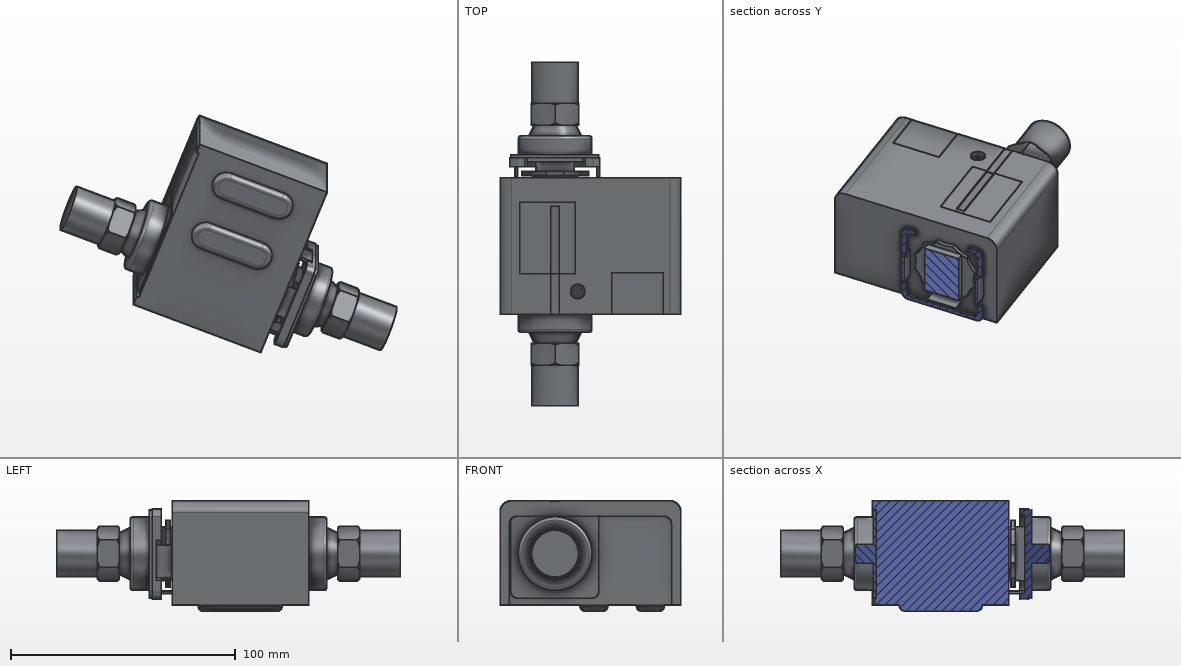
import cadquery as cq
import math


HOUSING_LEFT = -24.5
HOUSING_WIDTH = 80.5
HOUSING_BOTTOM = -23.0
HOUSING_TOP = 23.5
HOUSING_FRONT = -35.8
HOUSING_BACK = 25.1
TOP_EDGE_RADIUS = 5.0
SIDE_WALL = 4.1
TOP_WALL = 6.9
RECESS_DEPTH = 1.0
RECESS_RADIUS = 3.7

LABEL_DEPTH = 0.08
WINDOW_LEFT, WINDOW_RIGHT = -15.8, 8.9
WINDOW_FRONT, WINDOW_BACK = -17.7, 14.2
GROOVE_WIDTH = 3.7
GROOVE_BACK = 12.4
GROOVE_DEPTH = 0.3
WINDOW_GROOVE_DEPTH = 0.6
NAMEPLATE_LEFT, NAMEPLATE_RIGHT = 25.2, 48.0
NAMEPLATE_BACK = -17.1
HOLE_X, HOLE_Y = 10.1, -25.5
HOLE_DIAMETER = 6.5
HOLE_DEPTH = 7.6

FOOT_X = (17.3, 42.4)
FOOT_Y = -5.2
FOOT_LENGTH = 37.5
FOOT_WIDTH = 12.5
FOOT_HEIGHT = 2.8
FOOT_FILLET = 2.6

TUBE_END = 76.5
HEX_OUTER = 58.3
HEX_INNER = 48.5
CAP_OUTER = 43.8
FLANGE_OUTER = 35.3
RIM_OUTER = 34.0
RIM_INNER = 29.8
TUBE_RADIUS = 10.4
HEX_FLATS = 21.3
HEX_CHAMFER_RADIUS = 11.2
HEX_CHAMFER_LENGTH = 0.9
CONE_SMALL_RADIUS = 9.3
CONE_LARGE_RADIUS = 11.6
CAP_RADIUS = 16.4
CAP_FILLET = 1.4
FLANGE_OFFSET = -0.2
FLANGE_SIDE = 39.3
RIM_SIDE = 40.1
FLANGE_CORNER = 3.2

CAVITY_FLOOR = 32.1
RIM_WALL = 2.3
TOP_OPENING_OUTER_WIDTH = 27.0
TOP_OPENING_INNER_WIDTH = 24.8
SIDE_OPENING_BOTTOM, SIDE_OPENING_TOP = -12.0, 6.0

TAB_THICKNESS = 1.4
TAB_BOTTOM, TAB_TOP = -10.7, 3.7
CAVITY_EDGE = FLANGE_OFFSET - RIM_SIDE / 2 + RIM_WALL
RIM_RIGHT = FLANGE_OFFSET + RIM_SIDE / 2

DIAL_TEETH = 12
DIAL_TIP_RADIUS = 15.5
DIAL_VALLEY_RADIUS = 14.2
DIAL_BACK, DIAL_FRONT = 27.8, 26.0
BLOCK_WIDTH, BLOCK_HEIGHT = 17.1, 24.0
HUB_RADIUS = BLOCK_HEIGHT / 2
HUB_FLATS = 20.2


def box(x0, x1, y0, y1, z0, z1):
    """Box between two opposite corners."""
    return cq.Workplane("XY").box(x1 - x0, y1 - y0, z1 - z0, centered=False).translate((x0, y0, z0))


def along_y(y0, y1):
    """Workplane at y0 with local (x, y) = (X, Z), and the extrusion that reaches y1."""
    return cq.Workplane("XZ", origin=(0, y0, 0)), y0 - y1


def square_plate(side, y0, y1, rounded_edges):
    """Square plate across the Y axis, shifted by the flange offset, with chosen corners rounded."""
    plane, length = along_y(y0, y1)
    plate = plane.center(FLANGE_OFFSET, FLANGE_OFFSET).rect(side, side).extrude(length)
    return plate.edges(rounded_edges).fillet(FLANGE_CORNER)


def make_foot(x):
    """Slot-shaped foot with a rounded underside."""
    foot = (
        cq.Workplane("XY", origin=(x, FOOT_Y, HOUSING_BOTTOM))
        .slot2D(FOOT_LENGTH, FOOT_WIDTH, 90)
        .extrude(-FOOT_HEIGHT)
    )
    return foot.faces("<Z").edges().fillet(FOOT_FILLET)


def make_tabs():
    """Left, right and bottom tabs on the back of the housing."""
    half = (TAB_TOP - TAB_BOTTOM) / 2
    inner = CAVITY_EDGE + TAB_THICKNESS
    left = box(CAVITY_EDGE, inner, HOUSING_BACK, CAVITY_FLOOR, TAB_BOTTOM, TAB_TOP)
    right = box(RIM_RIGHT - TAB_THICKNESS, RIM_RIGHT, HOUSING_BACK, CAVITY_FLOOR, TAB_BOTTOM, TAB_TOP)
    bottom = box(-half, half, HOUSING_BACK, CAVITY_FLOOR, CAVITY_EDGE, inner)
    return left, right, bottom


def make_housing(front_fitting):
    """Block with a front recess, top markings, feet and rear tabs, seating the front fitting."""
    right = HOUSING_LEFT + HOUSING_WIDTH
    housing = box(HOUSING_LEFT, right, HOUSING_FRONT, HOUSING_BACK, HOUSING_BOTTOM, HOUSING_TOP)
    housing = housing.edges("|Y and >Z").fillet(TOP_EDGE_RADIUS)

    recess = box(
        HOUSING_LEFT + SIDE_WALL, right - SIDE_WALL, HOUSING_FRONT, HOUSING_FRONT + RECESS_DEPTH,
        HOUSING_BOTTOM, HOUSING_TOP - TOP_WALL,
    ).edges("|Y and >Z").fillet(RECESS_RADIUS)
    housing = housing.cut(recess)

    label_floor = HOUSING_TOP - LABEL_DEPTH
    window = box(WINDOW_LEFT, WINDOW_RIGHT, WINDOW_FRONT, WINDOW_BACK, label_floor, HOUSING_TOP)
    nameplate = box(
        NAMEPLATE_LEFT, NAMEPLATE_RIGHT, HOUSING_FRONT, NAMEPLATE_BACK, label_floor, HOUSING_TOP
    )
    half_groove = GROOVE_WIDTH / 2
    groove = box(-half_groove, half_groove, HOUSING_FRONT, GROOVE_BACK, HOUSING_TOP - GROOVE_DEPTH, HOUSING_TOP)
    window_groove = box(
        -half_groove, half_groove, WINDOW_FRONT, GROOVE_BACK, HOUSING_TOP - WINDOW_GROOVE_DEPTH, HOUSING_TOP
    )
    hole = (
        cq.Workplane("XY", origin=(HOLE_X, HOLE_Y, HOUSING_TOP))
        .circle(HOLE_DIAMETER / 2)
        .extrude(-HOLE_DEPTH)
    )
    for pocket in (window, nameplate, groove, window_groove, hole):
        housing = housing.cut(pocket)

    for x in FOOT_X:
        housing = housing.union(make_foot(x))
    for tab in make_tabs():
        housing = housing.union(tab)
    return housing.cut(front_fitting)


def make_stem():
    """Tube, chamfered hexagon, cone and round cap, pointing along +Y."""
    turned = (
        cq.Workplane("XY")
        .moveTo(0, FLANGE_OUTER)
        .lineTo(CAP_RADIUS, FLANGE_OUTER)
        .lineTo(CAP_RADIUS, CAP_OUTER - CAP_FILLET)
        .radiusArc((CAP_RADIUS - CAP_FILLET, CAP_OUTER), -CAP_FILLET)
        .lineTo(CONE_LARGE_RADIUS, CAP_OUTER)
        .lineTo(CONE_SMALL_RADIUS, HEX_INNER)
        .lineTo(TUBE_RADIUS, HEX_INNER)
        .lineTo(TUBE_RADIUS, TUBE_END)
        .lineTo(0, TUBE_END)
        .close()
        .revolve(360, (0, 0, 0), (0, 1, 0))
    )
    corner_radius = HEX_FLATS / 2 / math.cos(math.pi / 6)
    plane, length = along_y(HEX_INNER, HEX_OUTER)
    hexagon = plane.polygon(6, 2 * corner_radius).extrude(length).rotate((0, 0, 0), (0, 1, 0), 30)
    chamfer_profile = (
        cq.Workplane("XY")
        .moveTo(0, HEX_INNER)
        .lineTo(HEX_CHAMFER_RADIUS, HEX_INNER)
        .lineTo(corner_radius, HEX_INNER + HEX_CHAMFER_LENGTH)
        .lineTo(corner_radius, HEX_OUTER - HEX_CHAMFER_LENGTH)
        .lineTo(HEX_CHAMFER_RADIUS, HEX_OUTER)
        .lineTo(0, HEX_OUTER)
        .close()
        .revolve(360, (0, 0, 0), (0, 1, 0))
    )
    return turned.union(hexagon.intersect(chamfer_profile))


def make_front_fitting():
    """Fitting on a thin flange whose upper corners stay square under the housing lip."""
    flange = square_plate(FLANGE_SIDE, -FLANGE_OUTER, -RIM_OUTER, "|Y and <Z")
    return make_stem().mirror("XZ").union(flange)


def make_top_opening():
    """Opening through the top wall of the rim, flaring upward and reaching the flange."""
    plane, length = along_y(RIM_INNER, RIM_OUTER)
    outer, inner = TOP_OPENING_OUTER_WIDTH / 2, TOP_OPENING_INNER_WIDTH / 2
    wall_inside = RIM_RIGHT - RIM_WALL
    corners = [(-inner, wall_inside), (inner, wall_inside), (outer, RIM_RIGHT), (-outer, RIM_RIGHT)]
    return plane.polyline(corners).close().extrude(length)


def make_side_openings():
    """Left and right openings in the rim, flaring outward from the size of the tabs."""
    plane, length = along_y(RIM_INNER, CAVITY_FLOOR)
    rim_left = CAVITY_EDGE - RIM_WALL
    left = plane.polyline([
        (rim_left, SIDE_OPENING_BOTTOM),
        (CAVITY_EDGE, TAB_BOTTOM),
        (CAVITY_EDGE, TAB_TOP),
        (rim_left, SIDE_OPENING_TOP),
    ]).close().extrude(length)
    right = left.mirror("YZ", (FLANGE_OFFSET, 0, 0))
    return left, right


def make_rear_fitting():
    """Fitting on a stepped flange with a hollow rim, open at the top and both sides."""
    flange = square_plate(FLANGE_SIDE, RIM_OUTER, FLANGE_OUTER, "|Y")
    rim = square_plate(RIM_SIDE, RIM_INNER, RIM_OUTER, "|Y")
    cavity = square_plate(RIM_SIDE - 2 * RIM_WALL, RIM_INNER, CAVITY_FLOOR, "|Y")
    rim = rim.cut(cavity).cut(make_top_opening())
    for side_opening in make_side_openings():
        rim = rim.cut(side_opening)
    return make_stem().union(flange).union(rim)


def make_dial():
    """Scalloped wheel between a square block and a hub with two flats."""
    def on_circle(radius, steps):
        angle = math.pi / DIAL_TEETH * steps
        return radius * math.cos(angle), radius * math.sin(angle)

    outline, length = along_y(DIAL_FRONT, DIAL_BACK)
    outline = outline.moveTo(*on_circle(DIAL_TIP_RADIUS, -1))
    for tooth in range(DIAL_TEETH):
        valley = on_circle(DIAL_VALLEY_RADIUS, 2 * tooth)
        tip = on_circle(DIAL_TIP_RADIUS, 2 * tooth + 1)
        outline = outline.threePointArc(valley, tip)
    wheel = outline.close().extrude(length)

    block_x, block_z = BLOCK_WIDTH / 2, BLOCK_HEIGHT / 2
    block = box(-block_x, block_x, DIAL_BACK, CAVITY_FLOOR, -block_z, block_z)

    plane, length = along_y(HOUSING_BACK, DIAL_FRONT)
    hub = plane.circle(HUB_RADIUS).extrude(length)
    flats = box(-HUB_FLATS / 2, HUB_FLATS / 2, HOUSING_BACK, DIAL_FRONT, -HUB_RADIUS, HUB_RADIUS)
    return wheel.union(block).union(hub.intersect(flats))


front_fitting = make_front_fitting()
housing = make_housing(front_fitting)
rear_fitting = make_rear_fitting()
dial = make_dial()

result = cq.Compound.makeCompound(
    [housing.val(), front_fitting.val(), rear_fitting.val(), dial.val()]
)